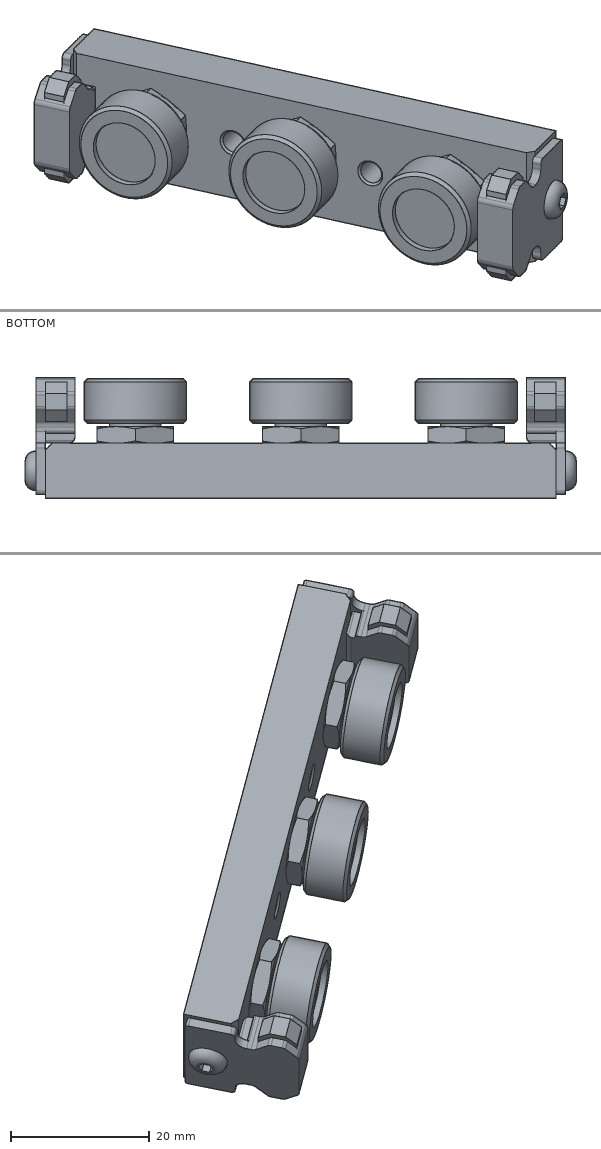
import cadquery as cq
import math


overall_length = 79.85
bar_length = 73.95
bar_depth = 8.0
bar_height = 18.05
bar_end_chamfer = 0.95

mount_hole_pitch = 22.05
mount_hole_radius = 1.7
mount_hole_chamfer = 0.3

roller_pitch = 23.95
outer_roller_z = -0.2
middle_roller_z = 0.5
roller_radius = 7.4
roller_width = 6.5
roller_chamfer = 0.5
roller_recess_radius = 4.95
roller_recess_depth = 0.95
collar_flats = 11.1
collar_thickness = 2.4
collar_chamfer_height = 0.3
neck_radius = 3.75
neck_length = 0.5

plate_thickness = 1.35
plate_height = 16.6
plate_back = 7.4
plate_back_fillet = 0.5
plate_front_fillet = 0.7
wiper_width = 5.7
plate_neck_fillet = 1.7
neck_half_height = 5.1
neck_back = -1.4
neck_rim_fillet = 0.3
web_half_height = 4.4
web_end_fillet = 0.95
web_rim_fillet = 0.4
head_front = -9.5
head_half_height = 7.35
head_flat_back = -5.0
head_flat_front = -7.3
head_flank_fillet = 1.0
head_crown_fillet = 0.7

felt_thickness = 3.1
felt_height = 16.6
felt_back = -3.1
felt_front = -8.9
felt_chamfer = 1.7

screw_y = bar_depth / 2
screw_radius = 2.9
screw_flat_radius = 1.35
screw_shoulder_radius = 2.6
screw_shoulder_height = 0.9
socket_flats = 2.0
socket_depth = 1.2

bar_end = bar_length / 2
wiper_outer_x = bar_end + plate_thickness
wiper_inner_x = wiper_outer_x - wiper_width
screw_head_height = overall_length / 2 - wiper_outer_x
head_flank_back = head_flat_back + head_half_height - neck_half_height
roller_back = -(collar_thickness + neck_length)


def box_between(x_range, y_range, z_range):
    """Box spanning the given ranges along X, Y and Z."""
    size = [end - start for start, end in (x_range, y_range, z_range)]
    corner = cq.Vector(x_range[0], y_range[0], z_range[0])
    return cq.Workplane("XY").box(*size, centered=False).translate(corner)


def fillet_x_edges(body, y, half_z, radius):
    """Fillet the edges along X that lie at depth y and at heights +half_z and -half_z."""
    reach = 0.01
    for z in (half_z, -half_z):
        near_edge = cq.selectors.BoxSelector(
            (-overall_length, y - reach, z - reach),
            (overall_length, y + reach, z + reach),
        )
        body = body.edges("|X").edges(near_edge).fillet(radius)
    return body


def make_mount_hole():
    """Cutting shape for a through hole along Y with a chamfered mouth at the roller face."""
    return (
        cq.Workplane("XY")
        .moveTo(0, 0)
        .lineTo(mount_hole_radius + mount_hole_chamfer, 0)
        .lineTo(mount_hole_radius, mount_hole_chamfer)
        .lineTo(mount_hole_radius, bar_depth)
        .lineTo(0, bar_depth)
        .close()
        .revolve(360, (0, 0, 0), (0, 1, 0))
    )


def make_bar():
    """Rectangular bar with chamfered front ends and two mounting holes."""
    bar = box_between(
        (-bar_end, bar_end),
        (0, bar_depth),
        (-bar_height / 2, bar_height / 2),
    )
    bar = bar.edges("|Z and <Y").chamfer(bar_end_chamfer)
    for side in (-1, 1):
        hole_x = side * mount_hole_pitch / 2
        bar = bar.cut(make_mount_hole().translate((hole_x, 0, 0)))
    return bar


def make_collar():
    """Hexagonal collar, corner up, with conical chamfers on both ends."""
    corner_radius = collar_flats / math.sqrt(3)
    face_radius = collar_flats / 2
    hexagon = (
        cq.Workplane("XZ")
        .polygon(6, 2 * corner_radius)
        .extrude(collar_thickness)
        .rotate((0, 0, 0), (0, 1, 0), 30)
    )
    chamfer_envelope = (
        cq.Workplane("XY")
        .polyline([
            (0, 0),
            (face_radius, 0),
            (corner_radius, -collar_chamfer_height),
            (corner_radius, collar_chamfer_height - collar_thickness),
            (face_radius, -collar_thickness),
            (0, -collar_thickness),
        ])
        .close()
        .revolve(360, (0, 0, 0), (0, 1, 0))
    )
    return hexagon.intersect(chamfer_envelope)


def make_roller():
    """Collar, neck and recessed roller wheel on one axis along Y."""
    neck = (
        cq.Workplane("XZ", origin=(0, -collar_thickness, 0))
        .circle(neck_radius)
        .extrude(neck_length)
    )
    wheel = (
        cq.Workplane("XZ", origin=(0, roller_back, 0))
        .circle(roller_radius)
        .extrude(roller_width)
        .edges()
        .chamfer(roller_chamfer)
        .faces("<Y")
        .workplane()
        .circle(roller_recess_radius)
        .cutBlind(-roller_recess_depth)
    )
    return make_collar().union(neck).union(wheel)


def make_carriage():
    """Bar with its row of three rollers; the middle one is set higher."""
    carriage = make_bar()
    roller = make_roller()
    for x, z in (
        (-roller_pitch, outer_roller_z),
        (0, middle_roller_z),
        (roller_pitch, outer_roller_z),
    ):
        carriage = carriage.union(roller.translate((x, 0, z)))
    return carriage


def make_felt():
    """Octagonal felt strip standing behind the +X end plate."""
    felt = box_between(
        (bar_end - felt_thickness, bar_end),
        (felt_front, felt_back),
        (-felt_height / 2, felt_height / 2),
    )
    return felt.edges("|X").chamfer(felt_chamfer)


def make_wiper_head():
    """Head with 45 degree flanks that reaches into the rail."""
    flank_drop = head_flat_front - head_front
    front_half_height = head_half_height - flank_drop
    upper_outline = [
        (head_flank_back, neck_half_height),
        (head_flat_back, head_half_height),
        (head_flat_front, head_half_height),
        (head_front, front_half_height),
    ]
    lower_outline = [(y, -z) for y, z in reversed(upper_outline)]
    head = (
        cq.Workplane("YZ", origin=(wiper_inner_x, 0, 0))
        .polyline(upper_outline + lower_outline)
        .close()
        .extrude(wiper_width)
    )
    head = fillet_x_edges(head, head_flat_back, head_half_height, head_crown_fillet)
    head = fillet_x_edges(head, head_flat_front, head_half_height, head_crown_fillet)
    return fillet_x_edges(head, head_front, front_half_height, head_flank_fillet)


def make_web():
    """Low web that joins the neck to the bar face, rounded along its back edges and free end."""
    x_range = (wiper_inner_x, wiper_outer_x)
    y_range = (head_flank_back, 0)
    z_range = (-web_half_height, web_half_height)
    profile = box_between(x_range, y_range, z_range).edges("|X and >Y").fillet(web_rim_fillet)
    rounded_end = box_between(x_range, y_range, z_range).edges("|Z and >Y and <X").fillet(web_end_fillet)
    return profile.intersect(rounded_end)


def make_neck():
    """Neck behind the head; inside the end plate it continues to the bar face plane."""
    z_range = (-neck_half_height, neck_half_height)
    inner = box_between((wiper_inner_x, bar_end), (head_flank_back, neck_back), z_range)
    inner = inner.edges("|X and >Y").fillet(neck_rim_fillet)
    outer = box_between((bar_end, wiper_outer_x), (head_flank_back, 0), z_range)
    return inner.union(outer)


def make_end_plate():
    """Rectangular plate with rounded corners that covers the bar end."""
    plate = box_between(
        (bar_end, wiper_outer_x),
        (0, plate_back),
        (-plate_height / 2, plate_height / 2),
    )
    plate = plate.edges("|X and >Y").fillet(plate_back_fillet)
    return plate.edges("|X and <Y").fillet(plate_front_fillet)


def make_plate_gussets():
    """Concave corner fills, above and below the neck, that run into the end plate."""
    radius = plate_neck_fillet
    top_z = neck_half_height + radius
    block = box_between(
        (bar_end, wiper_outer_x),
        (-radius, 0),
        (neck_half_height, top_z),
    )
    hollow = (
        cq.Workplane("YZ", origin=(bar_end, -radius, top_z))
        .circle(radius)
        .extrude(plate_thickness)
    )
    upper = block.cut(hollow)
    return upper, upper.mirror("XY")


def make_wiper():
    """One-piece wiper for the +X end: plate, web, neck and head, with a pocket for the felt."""
    wiper = make_end_plate().union(make_web()).union(make_neck()).union(make_wiper_head())
    for gusset in make_plate_gussets():
        wiper = wiper.union(gusset)
    wiper = fillet_x_edges(wiper, head_flank_back, neck_half_height, head_flank_fillet)
    return wiper.cut(make_felt())


def make_screw():
    """Button screw head with a hexagonal socket, seated on the +X end plate."""
    dome = (
        cq.Workplane("XY")
        .moveTo(0, 0)
        .lineTo(0, screw_radius)
        .threePointArc(
            (screw_shoulder_height, screw_shoulder_radius),
            (screw_head_height, screw_flat_radius),
        )
        .lineTo(screw_head_height, 0)
        .close()
        .revolve(360, (0, 0, 0), (1, 0, 0))
    )
    socket = (
        cq.Workplane("YZ", origin=(screw_head_height - socket_depth, 0, 0))
        .polygon(6, 2 * socket_flats / math.sqrt(3))
        .extrude(socket_depth)
    )
    return dome.cut(socket).translate((wiper_outer_x, screw_y, 0))


carriage = make_carriage()
bodies = [carriage.val()]
for end_part in (make_wiper(), make_felt(), make_screw()):
    bodies.append(end_part.val())
    bodies.append(end_part.mirror("YZ").val())

result = cq.Compound.makeCompound(bodies)